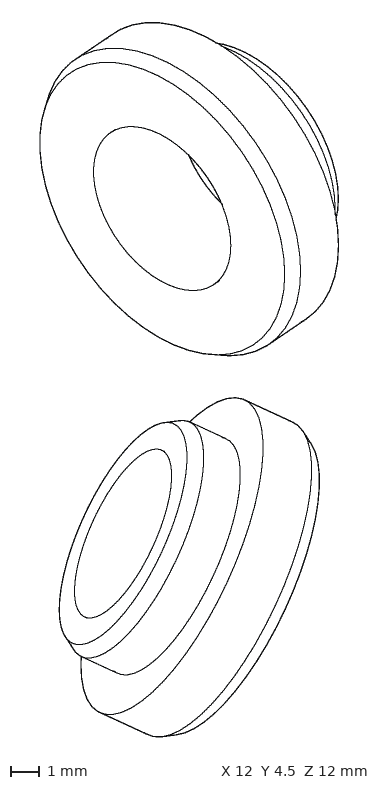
import cadquery as cq
import math

flange_diameter = 12.0
spigot_diameter = 9.0
bore_diameter = 6.4
total_length = 4.5
flange_length = 2.5

chamfer_length = 0.5
chamfer_angle = 30.0
chamfer_depth = chamfer_length * math.tan(math.radians(chamfer_angle))

flange_radius = flange_diameter / 2
spigot_radius = spigot_diameter / 2
bore_radius = bore_diameter / 2

half_section = [
    (bore_radius, 0),
    (flange_radius - chamfer_depth, 0),
    (flange_radius, chamfer_length),
    (flange_radius, flange_length),
    (spigot_radius, flange_length),
    (spigot_radius, total_length - chamfer_length),
    (spigot_radius - chamfer_depth, total_length),
    (bore_radius, total_length),
]

result = (
    cq.Workplane("XY")
    .polyline(half_section)
    .close()
    .revolve(360, (0, 0, 0), (0, 1, 0))
)